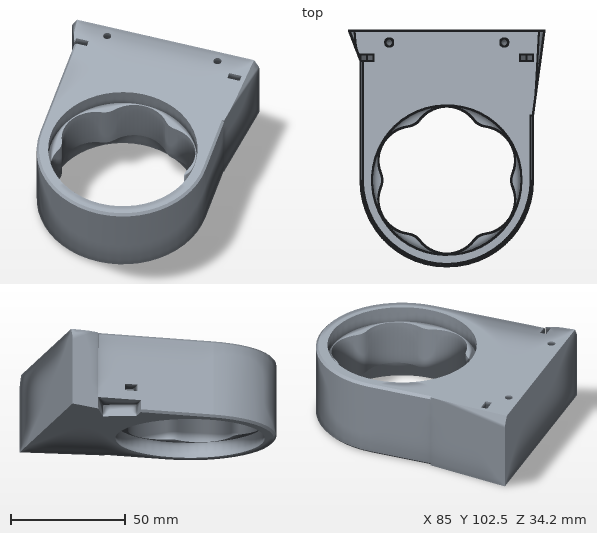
import cadquery as cq
import math

total_length = 102.5
total_width = 85.0
height = 34.2
nose_radius = 37.5
edge_chamfer = 1.0
rear_y = total_length - nose_radius

bore_radius = 32.5
upper_recess_depth = 7.2
lower_recess_depth = 6.8
lobe_count = 6
lobe_radius = 14.9
lobe_reach = 32.0
neck_reach = 28.0

left_wing_root_y = 52.1
right_wing_root_y = 28.2
wing_overlap = 5.1
bevel_inset = 2.4
bevel_angle = 30.0
left_bevel_taper = 0.09
right_bevel_taper = 0.055
left_bevel_blend = 3.4
right_bevel_blend = 2.4

nut_flats = 5.6
nut_thickness = 2.9
hexagon_half_turn = 180 / 6
nut_trap_depth = 8.7
top_trap_x = nose_radius - nut_flats / 2
top_trap_y = 53.3
side_trap_y = 37.0
side_trap_z = 10.6

screw_x = 25.0
screw_y = 59.9
screw_radius = 1.7
screw_depth = 8.2
drill_point_angle = 118.0

notch_height = 5.1
notch_front_y = 32.6
notch_inner_wall = [(-29.6, notch_front_y), (-26.6, 43.5), (-25.2, 45.4), (-24.8, 46.2)]


def make_body():
    block = (
        cq.Workplane("XY")
        .moveTo(-nose_radius, rear_y)
        .lineTo(-nose_radius, 0)
        .threePointArc((0, -nose_radius), (nose_radius, 0))
        .lineTo(nose_radius, rear_y)
        .close()
        .extrude(height)
    )
    rim = block.faces("<Z or >Z").edges("not(>Y)")
    return rim.chamfer(edge_chamfer)


def make_wing(side, root_y, bevel_taper, blend_radius):
    """Wedge on one side (-1 left, +1 right) with a blended bevel on its upper outer edge."""
    tip_x = total_width / 2
    inner_x = nose_radius - wing_overlap
    outline = [(inner_x, root_y), (nose_radius, root_y), (tip_x, rear_y), (inner_x, rear_y)]
    wedge = cq.Workplane("XY").polyline([(side * x, y) for x, y in outline]).close().extrude(height)

    lean = math.tan(math.radians(bevel_angle))
    bevel_top_x = tip_x - bevel_inset
    plane = cq.Plane(
        origin=(side * bevel_top_x, rear_y, height),
        xDir=(side * bevel_taper, 1, 0),
        normal=(side, -bevel_taper, lean),
    )
    wedge = wedge.cut(cq.Workplane(plane).rect(4 * total_length, 4 * height).extrude(height))

    wing_slope = (tip_x - nose_radius) / (rear_y - root_y)
    bevel_length = bevel_inset / (wing_slope - bevel_taper)
    middle_of_edge = (
        side * (tip_x - wing_slope * bevel_length / 2),
        rear_y - bevel_length / 2,
        height - bevel_inset / lean / 2,
    )
    edge = wedge.edges(cq.selectors.NearestToPointSelector(middle_of_edge))
    return edge.fillet(blend_radius)


def polar(radius, angle):
    return (radius * math.cos(angle), radius * math.sin(angle))


def make_bore():
    """Lobed waist running right through, with a round recess at each end."""
    lobe_centre = lobe_reach - lobe_radius
    pitch = 2 * math.pi / lobe_count
    half_pitch = pitch / 2

    offset_x = neck_reach - lobe_centre * math.cos(half_pitch)
    offset_y = lobe_centre * math.sin(half_pitch)
    neck_radius = (lobe_radius**2 - offset_x**2 - offset_y**2) / (2 * (offset_x - lobe_radius))
    neck_centre = neck_reach + neck_radius
    share = neck_radius / (lobe_radius + neck_radius)
    tangent_x = neck_centre + share * (lobe_centre * math.cos(half_pitch) - neck_centre)
    tangent_y = share * offset_y
    tangent_reach = math.hypot(tangent_x, tangent_y)
    neck_half_angle = math.atan2(tangent_y, tangent_x)

    waist = cq.Workplane("XY").moveTo(*polar(tangent_reach, -neck_half_angle))
    for i in range(lobe_count):
        turn = i * pitch
        waist = waist.threePointArc(polar(neck_reach, turn), polar(tangent_reach, turn + neck_half_angle))
        next_neck = polar(tangent_reach, turn + pitch - neck_half_angle)
        waist = waist.threePointArc(polar(lobe_reach, turn + half_pitch), next_neck)
    waist = waist.close().extrude(height)

    lower_recess = cq.Workplane("XY").circle(bore_radius).extrude(lower_recess_depth)
    upper_floor = cq.Workplane("XY", origin=(0, 0, height - upper_recess_depth))
    upper_recess = upper_floor.circle(bore_radius).extrude(upper_recess_depth)
    return waist.union(lower_recess).union(upper_recess)


def make_nut_trap(plane):
    """Pocket that runs down the plane's -Y axis from its origin; the plane's normal is the nut axis."""
    half = nut_flats / 2
    point_height = half * math.tan(math.radians(hexagon_half_turn))
    shoulder = point_height - nut_trap_depth
    outline = [(-half, 0), (-half, shoulder), (0, -nut_trap_depth), (half, shoulder), (half, 0)]
    return cq.Workplane(plane).polyline(outline).close().extrude(nut_thickness / 2, both=True)


def make_screw_hole(x):
    point_depth = screw_radius / math.tan(math.radians(drill_point_angle / 2))
    profile = [
        (0, 0),
        (screw_radius, 0),
        (screw_radius, -screw_depth),
        (0, -screw_depth - point_depth),
    ]
    plane = cq.Plane(origin=(x, screw_y, height), xDir=(1, 0, 0), normal=(0, -1, 0))
    return cq.Workplane(plane).polyline(profile).close().revolve(360, (0, 0), (0, 1))


def make_notch():
    outline = [(-nose_radius, notch_front_y), *notch_inner_wall, (-nose_radius, left_wing_root_y)]
    return cq.Workplane("XY").polyline(outline).close().extrude(notch_height)


result = make_body()
result = result.union(make_wing(-1, left_wing_root_y, left_bevel_taper, left_bevel_blend))
result = result.union(make_wing(1, right_wing_root_y, right_bevel_taper, right_bevel_blend))

result = result.cut(make_bore())

for side in (-1, 1):
    trap_plane = cq.Plane(origin=(side * top_trap_x, top_trap_y, height), xDir=(1, 0, 0), normal=(0, -1, 0))
    result = result.cut(make_nut_trap(trap_plane))
    result = result.cut(make_screw_hole(side * screw_x))

side_trap_plane = cq.Plane(origin=(-nose_radius, side_trap_y, side_trap_z), xDir=(0, 1, 0), normal=(0, 0, 1))
result = result.cut(make_nut_trap(side_trap_plane))
result = result.cut(make_notch())